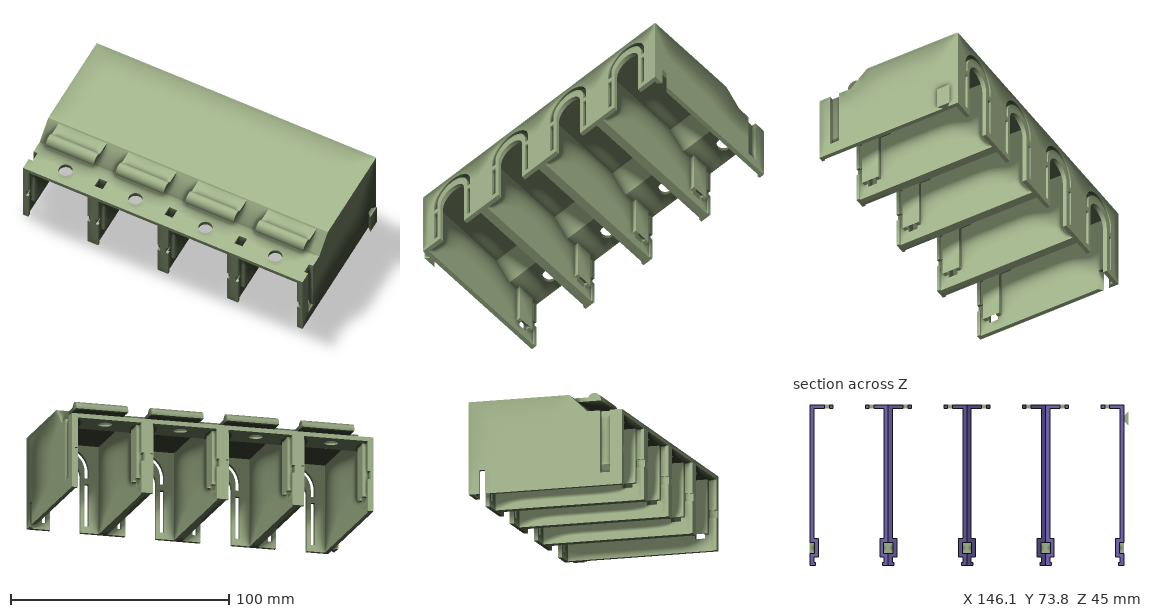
import cadquery as cq
import math

module_count = 4
pitch = 36.0
depth = 73.8
height = 43.5
front_height = 35.2

side_wall = 2.05
lip_thickness = 2.75
lip_length = 1.5
roof_wall = 2.0
back_wall = roof_wall
slope_front_y = 16.7
slope_back_y = 25.4
mid_x = pitch / 2

handle_width = 24.8
handle_front_y = 12.0
handle_bottom_z = 41.2
tongue_top_z = 43.07
grip_radius = 3.2
handle_top_z = 44.95

access_diameter = 6.5
access_y = 7.8

channel_y = 8.2
channel_width = 4.8
channel_depth = side_wall
channel_bottom_z = 6.0
boss_width = 8.7
boss_reach = 4.05
boss_bottom_z = 7.8
ramp_top_z = 10.2

notch_bottom_z = 15.3
notch_top_z = 19.0
notch_floor_x = 1.5
notch_length = channel_y - boss_width / 2

gate_width = 14.7
gate_spring_z = 26.5
slit_inner_radius = 9.2
slit_outer_radius = 11.2
slit_spring_z = 29.3
slit_bottom_z = 26.1
window_bottom_z = 3.2
window_top_z = 23.2

dovetail_y = depth - 6.5
dovetail_neck = 2.7
dovetail_length = 2.05
dovetail_spread = 2.0
dovetail_height = 11.15


def block(x_start, x_end, y_start, y_end, z_start, z_end):
    """Box between two opposite corners."""
    size = (x_end - x_start, y_end - y_start, z_end - z_start)
    return cq.Workplane("XY").box(*size, centered=False).translate((x_start, y_start, z_start))


def side_prism(points, x_start, x_end):
    """Prism along X whose outline is a list of (y, z) points."""
    return cq.Workplane("YZ", origin=(x_start, 0, 0)).polyline(points).close().extrude(x_end - x_start)


def on_both_sides(shape):
    """The shape together with its mirror image about the middle of the module."""
    mirrored = shape.translate((-mid_x, 0, 0)).mirror("YZ").translate((mid_x, 0, 0))
    return shape.union(mirrored)


def shell():
    """Hollow cover, open at the front and the bottom."""
    outer = side_prism(
        [
            (0, 0),
            (0, front_height),
            (slope_front_y, front_height),
            (slope_back_y, height),
            (depth, height),
            (depth, 0),
        ],
        0,
        pitch,
    )
    inner_back_y = depth - back_wall
    slope_angle = math.atan2(height - front_height, slope_back_y - slope_front_y)
    slope_shift = roof_wall * math.tan(slope_angle / 2)
    cavity = side_prism(
        [
            (0, 0),
            (0, front_height - roof_wall),
            (slope_front_y + slope_shift, front_height - roof_wall),
            (slope_back_y + slope_shift, height - roof_wall),
            (inner_back_y, height - roof_wall),
            (inner_back_y, 0),
        ],
        side_wall,
        pitch - side_wall,
    )
    return outer.cut(cavity)


def handle():
    grip_z = handle_top_z - grip_radius
    grip_y = handle_front_y + math.sqrt(grip_radius**2 - (grip_z - handle_bottom_z) ** 2)
    tongue_rise = tongue_top_z - grip_z
    grip_back_y = grip_y + math.sqrt(grip_radius**2 - tongue_rise**2)
    run_per_rise = (slope_back_y - slope_front_y) / (height - front_height)
    top_root_y = slope_front_y + (tongue_top_z - front_height) * run_per_rise
    bottom_root_y = slope_front_y + (handle_bottom_z - front_height) * run_per_rise
    return (
        cq.Workplane("YZ", origin=(mid_x - handle_width / 2, 0, 0))
        .moveTo(handle_front_y, handle_bottom_z)
        .threePointArc((grip_y, handle_top_z), (grip_back_y, tongue_top_z))
        .lineTo(top_root_y, tongue_top_z)
        .lineTo(bottom_root_y, handle_bottom_z)
        .close()
        .extrude(handle_width)
    )


def access_hole():
    return (
        cq.Workplane("XY", origin=(mid_x, access_y, front_height - roof_wall))
        .circle(access_diameter / 2)
        .extrude(roof_wall)
    )


def clip_bosses():
    """Thickened strips on the inner faces of the side walls, hanging from the roof."""
    y_start = channel_y - boss_width / 2
    roof_z = front_height - roof_wall
    return on_both_sides(block(0, boss_reach, y_start, y_start + boss_width, boss_bottom_z, roof_z))


def clip_channels():
    """Outer channels, open at the top, that ramp through the wall at their lower end."""
    channel = (
        cq.Workplane("XZ", origin=(0, channel_y + channel_width / 2, 0))
        .moveTo(0, channel_bottom_z)
        .lineTo(boss_reach, channel_bottom_z)
        .lineTo(boss_reach, boss_bottom_z)
        .lineTo(channel_depth, ramp_top_z)
        .lineTo(channel_depth, front_height)
        .lineTo(0, front_height)
        .close()
        .extrude(channel_width)
    )
    return on_both_sides(channel)


def front_lips():
    """Thickened inner edges along the front of the side walls."""
    return on_both_sides(block(0, lip_thickness, 0, lip_length, 0, front_height - roof_wall))


def front_notches():
    return on_both_sides(block(notch_floor_x, lip_thickness, 0, notch_length, notch_bottom_z, notch_top_z))


def arch(radius, spring_z, bottom_z):
    """Round-topped panel on the middle of the module, cutting through the back wall."""
    return (
        cq.Workplane("XZ", origin=(mid_x, depth, 0))
        .moveTo(-radius, bottom_z)
        .lineTo(-radius, spring_z)
        .threePointArc((0, spring_z + radius), (radius, spring_z))
        .lineTo(radius, bottom_z)
        .close()
        .extrude(back_wall)
    )


def back_openings():
    gate = arch(gate_width / 2, gate_spring_z, 0)
    outer_arch = arch(slit_outer_radius, slit_spring_z, slit_bottom_z)
    inner_arch = arch(slit_inner_radius, slit_spring_z, slit_bottom_z)
    window = block(
        mid_x - slit_outer_radius,
        mid_x - slit_inner_radius,
        depth - back_wall,
        depth,
        window_bottom_z,
        window_top_z,
    )
    return gate.union(outer_arch.cut(inner_arch)).union(on_both_sides(window))


def dovetail(start_x, length):
    """Upright dovetail that widens in the +X direction from start_x."""
    neck = dovetail_neck / 2
    wide = neck + length * dovetail_spread / dovetail_length
    outline = [
        (start_x, dovetail_y - neck),
        (start_x + length, dovetail_y - wide),
        (start_x + length, dovetail_y + wide),
        (start_x, dovetail_y + neck),
    ]
    return cq.Workplane("XY").polyline(outline).close().extrude(dovetail_height)


def make_module():
    """One terminal cover, with its left face at X = 0."""
    body = shell().union(front_lips()).union(clip_bosses()).union(handle())
    for opening in (access_hole(), clip_channels(), front_notches(), back_openings()):
        body = body.cut(opening)
    body = body.cut(dovetail(0, side_wall))
    return body.union(dovetail(pitch, dovetail_length))


module = make_module()
modules = [module.translate((index * pitch, 0, 0)) for index in range(module_count)]

result = cq.Compound.makeCompound([cover.val() for cover in modules])